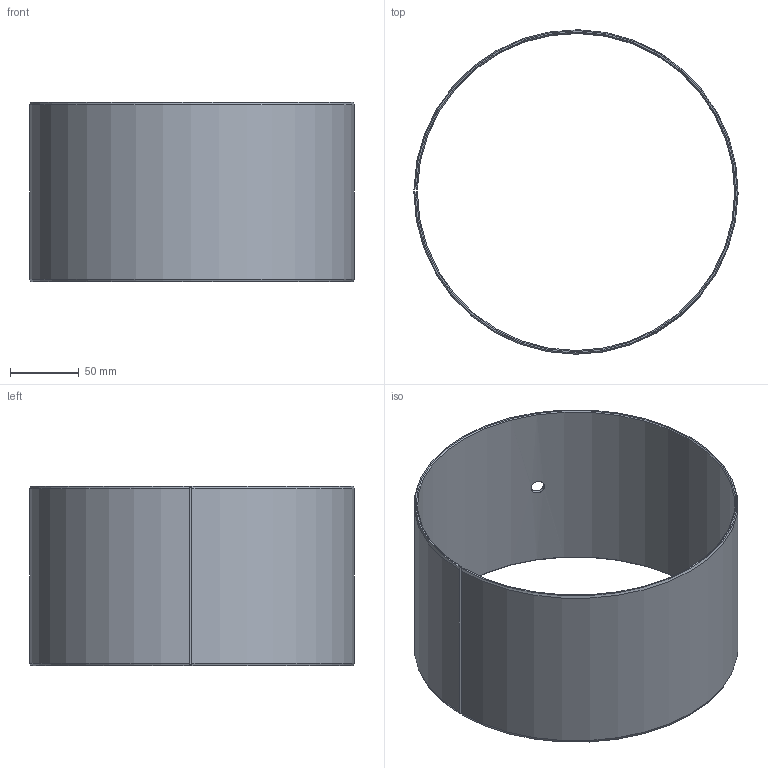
import cadquery as cq
import math

outer_diameter = 235.0
wall_thickness = 2.5
height = 130.0
outer_chamfer_height = 1.8
outer_chamfer_angle = 20.0
inner_chamfer = 0.8
slit_edge_angle = 180.0
slit_opening_angle = 1.0
hole_diameter = 10.0
hole_offset_angle = 120.0
hole_height = height / 2

outer_radius = outer_diameter / 2
inner_radius = outer_radius - wall_thickness
outer_chamfer_depth = outer_chamfer_height * math.tan(math.radians(outer_chamfer_angle))
ring_angle = 360 - slit_opening_angle
hole_angle = slit_edge_angle - slit_opening_angle - hole_offset_angle
hole_cut_depth = 4 * wall_thickness


def make_split_ring():
    """Thin-walled ring with both rims chamfered, left open by a narrow slit at -X."""
    section = [
        (inner_radius + inner_chamfer, 0),
        (outer_radius - outer_chamfer_depth, 0),
        (outer_radius, outer_chamfer_height),
        (outer_radius, height - outer_chamfer_height),
        (outer_radius - outer_chamfer_depth, height),
        (inner_radius + inner_chamfer, height),
        (inner_radius, height - inner_chamfer),
        (inner_radius, inner_chamfer),
    ]
    ring = cq.Workplane("XZ").polyline(section).close().revolve(ring_angle, (0, 0), (0, 1))
    return ring.rotate((0, 0, 0), (0, 0, 1), slit_edge_angle)


def make_wall_hole():
    """Radial round hole through the wall."""
    return (
        cq.Workplane("YZ", origin=(outer_radius - hole_cut_depth / 2, 0, hole_height))
        .circle(hole_diameter / 2)
        .extrude(hole_cut_depth)
        .rotate((0, 0, 0), (0, 0, 1), hole_angle)
    )


result = make_split_ring().cut(make_wall_hole())